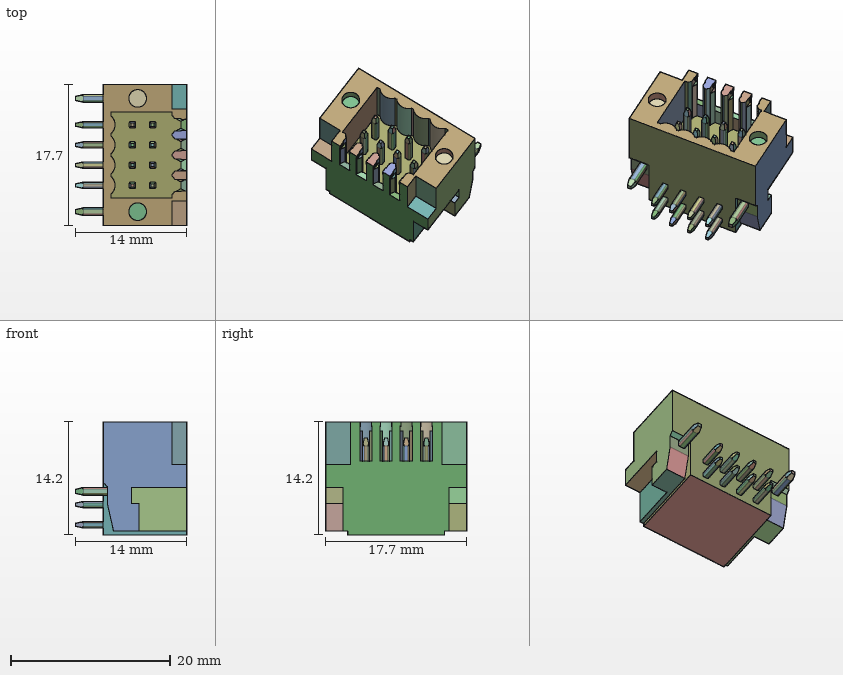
import cadquery as cq
import math

HOUSING_X = 10.5
HOUSING_Y = 17.72
HOUSING_Z = 14.2

PITCH = 2.53
POSITIONS = 4
COLUMNS = 2
FIRST_COLUMN_X = 3.67
FIRST_ROW_Z = 1.3

PIN_SIZE = 0.82
PIN_TIP_SIZE = 0.39
PIN_CORNER_RADIUS = 0.21
PIN_PROTRUSION = 3.49
PIN_TAPER_LENGTH = 1.0
PIN_EMBED = 0.89
CONTACT_TOP_Z = 12.17

ANCHOR_SIZE = 1.0
ANCHOR_TIP_SIZE = 0.51
ANCHOR_CORNER_RADIUS = 0.23
ANCHOR_Z = 5.5

POCKET_X = 0.95
KEY_WALL_X = 8.65
POCKET_Y = 10.77
POCKET_FLOOR_Z = 7.0
SCALLOP_HALF_CHORD = 1.13
SCALLOP_RISE = 0.53

MOUTH_HALF_WIDTH = 1.17
MOUTH_DEPTH = 0.35
SLOT_HALF_WIDTH = 0.76
SLOT_STEP_X = 9.75
SLOT_STEP_Z = 9.27
LIP_THICKNESS = 0.07
LIP_HEIGHT = 0.55
RIDGE_TOP_Z = 13.05
RIDGE_HEIGHT = 0.34
RIDGE_HALF_BASE = 0.6

FLANGE_Y = 7.1
HOLE_X = 4.32
HOLE_DIAMETER = 2.22
HOLE_DEPTH = 1.13
NOTCH_Y = 5.76
NOTCH_Z = 8.88

CORE_HALF_Y = 6.1
END_BLOCK_BOTTOM_Z = 0.51
RELIEF_X = 0.51
RELIEF_TOP_Z = 6.6
RELIEF_SLOPE_Z = 3.99
RELIEF_FOOT_X = 1.3
RECESS_DEPTH = 2.22
RECESS_TOP_X = 3.55
RECESS_TOP_Z = 5.99
RECESS_LEDGE_X = 4.52
RECESS_LEDGE_Z = 3.99

POSITION_Y = [(i - (POSITIONS - 1) / 2) * PITCH for i in range(POSITIONS)]
SIDES = (-1, 1)


def block(x_range, y_range, z_range):
    """Box between the given limits along X, Y and Z."""
    (x0, x1), (y0, y1), (z0, z1) = x_range, sorted(y_range), z_range
    return cq.Workplane("XY").box(x1 - x0, y1 - y0, z1 - z0, centered=False).translate((x0, y0, z0))


def side_prism(points, y_from, y_to):
    """Prism with an X-Z outline, spanning two Y values."""
    low, high = sorted((y_from, y_to))
    return cq.Workplane("XZ", origin=(0, high, 0)).polyline(points).close().extrude(high - low)


def plan_prism(points, z_from, z_to):
    """Prism with an X-Y outline, spanning two Z values."""
    return cq.Workplane("XY", origin=(0, 0, z_from)).polyline(points).close().extrude(z_to - z_from)


def pin(size, tip_size, corner_radius, length):
    """Upright square pin on the origin with rounded edges and four flat tapers at its tip."""
    shank_length = length - PIN_TAPER_LENGTH
    taper = math.degrees(math.atan((size - tip_size) / 2 / PIN_TAPER_LENGTH))
    shoulder = cq.Workplane("XY", origin=(0, 0, shank_length))
    point = shoulder.rect(size, size).extrude(PIN_TAPER_LENGTH, taper=taper)
    envelope = cq.Workplane("XY").rect(size, size).extrude(shank_length).union(point)
    bar = cq.Workplane("XY").rect(size, size).extrude(length).edges("|Z").fillet(corner_radius)
    return bar.intersect(envelope)


def end_block_cuts(side):
    """Material removed below and around the end block on one side."""
    inner = side * CORE_HALF_Y
    outer = side * HOUSING_Y / 2
    underside = block((0, HOUSING_X), (inner, outer), (0, END_BLOCK_BOTTOM_Z))
    relief = side_prism(
        [
            (0, RELIEF_TOP_Z),
            (RELIEF_X, RELIEF_TOP_Z - RELIEF_X),
            (RELIEF_X, RELIEF_SLOPE_Z),
            (RELIEF_FOOT_X, END_BLOCK_BOTTOM_Z),
            (0, END_BLOCK_BOTTOM_Z),
        ],
        inner,
        outer,
    )
    recess = side_prism(
        [
            (RECESS_TOP_X, RECESS_TOP_Z),
            (HOUSING_X, RECESS_TOP_Z),
            (HOUSING_X, END_BLOCK_BOTTOM_Z),
            (RECESS_LEDGE_X, END_BLOCK_BOTTOM_Z),
            (RECESS_LEDGE_X, RECESS_LEDGE_Z),
            (RECESS_TOP_X, RECESS_LEDGE_Z),
        ],
        outer - side * RECESS_DEPTH,
        outer,
    )
    notch = block((KEY_WALL_X, HOUSING_X), (side * NOTCH_Y, outer), (NOTCH_Z, HOUSING_Z))
    return [underside, relief, recess, notch]


def scalloped_pocket():
    """Mating pocket whose -X wall bulges inward in one arc per contact position."""
    half_y = POCKET_Y / 2
    floor = cq.Workplane("XY", origin=(0, 0, POCKET_FLOOR_Z))
    outline = floor.moveTo(KEY_WALL_X, -half_y).lineTo(POCKET_X, -half_y)
    for y in POSITION_Y:
        outline = outline.lineTo(POCKET_X, y - SCALLOP_HALF_CHORD).threePointArc(
            (POCKET_X + SCALLOP_RISE, y), (POCKET_X, y + SCALLOP_HALF_CHORD)
        )
    outline = outline.lineTo(POCKET_X, half_y).lineTo(KEY_WALL_X, half_y).close()
    return outline.extrude(HOUSING_Z - POCKET_FLOOR_Z)


def key_slot(y):
    """Slot through the +X wall with a flared mouth, a stepped floor, top lips and a ridge on each flank."""
    throat_x = KEY_WALL_X + MOUTH_DEPTH
    mouth = [
        (KEY_WALL_X, y - MOUTH_HALF_WIDTH),
        (throat_x, y - SLOT_HALF_WIDTH),
        (SLOT_STEP_X, y - SLOT_HALF_WIDTH),
        (SLOT_STEP_X, y + SLOT_HALF_WIDTH),
        (throat_x, y + SLOT_HALF_WIDTH),
        (KEY_WALL_X, y + MOUTH_HALF_WIDTH),
    ]
    flank = (y - SLOT_HALF_WIDTH, y + SLOT_HALF_WIDTH)
    slot = plan_prism(mouth, POCKET_FLOOR_Z, HOUSING_Z)
    slot = slot.union(block((SLOT_STEP_X, HOUSING_X), flank, (SLOT_STEP_Z, HOUSING_Z)))
    for side in SIDES:
        flank_y = y + side * SLOT_HALF_WIDTH
        lip_y = (flank_y - side * LIP_THICKNESS, flank_y)
        ridge = [
            (SLOT_STEP_X - RIDGE_HALF_BASE, flank_y),
            (SLOT_STEP_X, flank_y - side * RIDGE_HEIGHT),
            (SLOT_STEP_X + RIDGE_HALF_BASE, flank_y),
        ]
        slot = slot.cut(block((SLOT_STEP_X, HOUSING_X), lip_y, (HOUSING_Z - LIP_HEIGHT, HOUSING_Z)))
        slot = slot.cut(plan_prism(ridge, POCKET_FLOOR_Z, RIDGE_TOP_Z))
    return slot


def upright_contact(x, y):
    """Contact standing on the pocket floor."""
    length = CONTACT_TOP_Z - POCKET_FLOOR_Z + PIN_EMBED
    contact = pin(PIN_SIZE, PIN_TIP_SIZE, PIN_CORNER_RADIUS, length)
    return contact.translate((x, y, POCKET_FLOOR_Z - PIN_EMBED))


def board_pin(size, tip_size, corner_radius, y, z):
    """Pin sticking out of the -X face."""
    tail = pin(size, tip_size, corner_radius, PIN_PROTRUSION + PIN_EMBED)
    return tail.rotate((0, 0, 0), (0, 1, 0), -90).translate((PIN_EMBED, y, z))


result = block((0, HOUSING_X), (-HOUSING_Y / 2, HOUSING_Y / 2), (0, HOUSING_Z))
for side in SIDES:
    for cutter in end_block_cuts(side):
        result = result.cut(cutter)
    screw_hole = cq.Workplane("XY", origin=(HOLE_X, side * FLANGE_Y, HOUSING_Z)).circle(HOLE_DIAMETER / 2)
    result = result.cut(screw_hole.extrude(-HOLE_DEPTH))
result = result.cut(scalloped_pocket())
for y in POSITION_Y:
    result = result.cut(key_slot(y))

for y in POSITION_Y:
    for column in range(COLUMNS):
        offset = column * PITCH
        result = result.union(upright_contact(FIRST_COLUMN_X + offset, y))
        contact_tail = board_pin(PIN_SIZE, PIN_TIP_SIZE, PIN_CORNER_RADIUS, y, FIRST_ROW_Z + offset)
        result = result.union(contact_tail)
for side in SIDES:
    anchor = board_pin(ANCHOR_SIZE, ANCHOR_TIP_SIZE, ANCHOR_CORNER_RADIUS, side * FLANGE_Y, ANCHOR_Z)
    result = result.union(anchor)